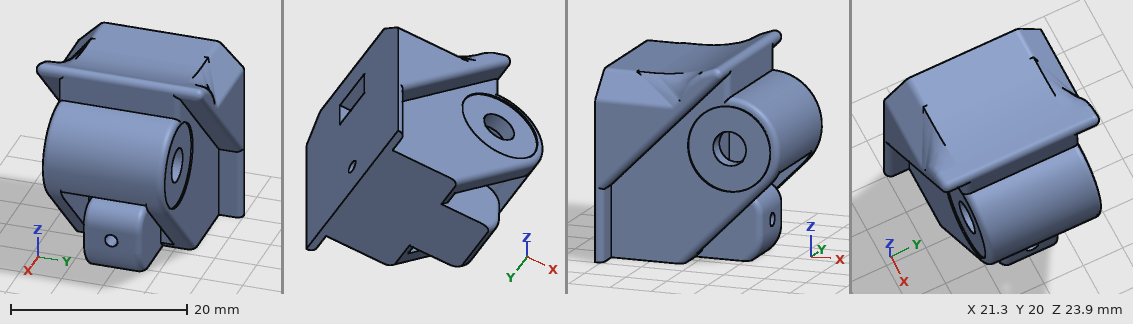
import math

import cadquery as cq

TOTAL_WIDTH = 20.0
HALF_WIDTH = TOTAL_WIDTH / 2
CREST_TOP = 23.9
ROOF_HEIGHT = 22.05
EDGE_RADIUS = 0.75
OVERSHOOT = 1.0
UNDERSIDE_FACING = -45.0

PLATE_THICKNESS = 0.95

ARM_WIDTH = 14.5
PIVOT_X = 15.25
PIVOT_Z = 14.0
ARM_END_RADIUS = 6.0
ARM_ARC_END = 100.0
PIVOT_HOLE_DIAMETER = 4.0
PIVOT_RECESS_DIAMETER = 10.0
PIVOT_RECESS_DEPTH = 0.2

CHAMFER = 3.0
CHAMFER_EDGE_RADIUS = 1.0
TIP_X = PIVOT_X - EDGE_RADIUS
TIP_Z = CREST_TOP - EDGE_RADIUS
SIN_45 = math.sqrt(0.5)
UNDERSIDE_RISE = TIP_Z - TIP_X - EDGE_RADIUS / SIN_45

RAMP_ANGLE = math.radians(21.3)
RAMP_START_X = 12.7
CREST_CENTRE_HALF_WIDTH = HALF_WIDTH - CHAMFER
CREST_START_X = 4.0
SIDE_CREST_START = (9.6, ROOF_HEIGHT - CHAMFER)
SIDE_CREST_TOE = (10.4, 19.8)
SIDE_CREST_MIDDLE = (11.3, 21.8)
SIDE_CREST_TOP = (12.7, 23.3)

CAVITY_WIDTH = 10.2
CAVITY_RADIUS = 4.7

FOOT_WIDTH = 7.0
FOOT_LENGTH = 17.75
FOOT_TOP = 8.0
FOOT_TOP_RADIUS = 2.5
FOOT_BOTTOM_RADIUS = 4.0
FOOT_BOTTOM = -0.95

WINDOW_WIDTH = 5.35
WINDOW_BOTTOM = 14.95
WINDOW_HEIGHT = 3.5
PIN_HOLE_DIAMETER = 1.5
PIN_HOLE_Z = 4.25


def side_sketch(y):
    """Sketch plane parallel to XZ at the given Y; extrusion runs toward -Y."""
    return cq.Workplane("XZ", origin=(0, y, 0))


def circle_point(centre, radius, degrees):
    """Point (x, z) on a circle, at an angle measured from +X toward +Z."""
    angle = math.radians(degrees)
    return (centre[0] + radius * math.cos(angle), centre[1] + radius * math.sin(angle))


def underside(x):
    """Point (x, z) on the sloping underside of the hood."""
    return (x, x + UNDERSIDE_RISE)


def make_plate():
    return cq.Workplane().box(
        PLATE_THICKNESS, TOTAL_WIDTH, ROOF_HEIGHT - CHAMFER, centered=(False, True, False)
    )


def make_hood_block():
    roof_end_x = ROOF_HEIGHT - UNDERSIDE_RISE
    block = (
        side_sketch(HALF_WIDTH)
        .polyline([underside(0), underside(roof_end_x), (0, ROOF_HEIGHT)])
        .close()
        .extrude(TOTAL_WIDTH)
    )
    block = block.edges("|X and >Z").chamfer(CHAMFER)
    return block.edges("|X and >Z").fillet(CHAMFER_EDGE_RADIUS)


def close_crest(sketch, start_x):
    """Finish a crest section: ramp into the round tip, then back down the underside."""
    tip = (TIP_X, TIP_Z)
    ramp_end = circle_point(tip, EDGE_RADIUS, 90 + math.degrees(RAMP_ANGLE))
    tip_middle = circle_point(tip, EDGE_RADIUS, 0)
    tip_end = circle_point(tip, EDGE_RADIUS, UNDERSIDE_FACING)
    return (
        sketch.lineTo(*ramp_end)
        .threePointArc(tip_middle, tip_end)
        .lineTo(*underside(start_x))
        .close()
    )


def centre_crest_sketch(y):
    ramp_end = circle_point((TIP_X, TIP_Z), EDGE_RADIUS, 90 + math.degrees(RAMP_ANGLE))
    ramp_start_z = ramp_end[1] - (ramp_end[0] - RAMP_START_X) * math.tan(RAMP_ANGLE)
    ramp_start = (RAMP_START_X, ramp_start_z)
    rise = ramp_start_z - ROOF_HEIGHT
    radius = rise / (1 - math.cos(RAMP_ANGLE))
    rise_start_x = RAMP_START_X - radius * math.sin(RAMP_ANGLE)
    middle = circle_point((rise_start_x, ROOF_HEIGHT + radius), radius, math.degrees(RAMP_ANGLE) / 2 - 90)
    sketch = (
        side_sketch(y)
        .moveTo(CREST_START_X, ROOF_HEIGHT)
        .lineTo(rise_start_x, ROOF_HEIGHT)
        .threePointArc(middle, ramp_start)
    )
    return close_crest(sketch, CREST_START_X)


def side_crest_sketch(y):
    sketch = (
        side_sketch(y)
        .moveTo(*SIDE_CREST_START)
        .lineTo(*SIDE_CREST_TOE)
        .threePointArc(SIDE_CREST_MIDDLE, SIDE_CREST_TOP)
    )
    return close_crest(sketch, SIDE_CREST_START[0])


def make_crest():
    centre = centre_crest_sketch(CREST_CENTRE_HALF_WIDTH).extrude(2 * CREST_CENTRE_HALF_WIDTH)
    inner_wire = centre_crest_sketch(-CREST_CENTRE_HALF_WIDTH).val()
    outer_wire = side_crest_sketch(-HALF_WIDTH).val()
    side = cq.Workplane(cq.Solid.makeLoft([inner_wire, outer_wire], True))
    return centre.union(side).union(side.mirror("XZ"))


def make_hood():
    hood = make_plate().union(make_hood_block()).union(make_crest())
    side_edges = hood.faces("<Y or >Y").edges()
    sharp_edges = hood.faces("<X or <Z").edges().vals()
    rounded_edges = [edge for edge in side_edges.vals() if edge not in sharp_edges]
    return hood.newObject(rounded_edges).fillet(EDGE_RADIUS)


def make_neck():
    """Upright front face that joins the tip of the crest to the pivot."""
    back_x = TIP_X - 2 * EDGE_RADIUS
    neck = (
        side_sketch(ARM_WIDTH / 2)
        .polyline([(back_x, PIVOT_Z), (PIVOT_X, PIVOT_Z), (PIVOT_X, TIP_Z), (back_x, TIP_Z - EDGE_RADIUS)])
        .close()
        .extrude(ARM_WIDTH)
    )
    return neck.faces(">X").edges("|Z").fillet(EDGE_RADIUS)


def make_arm():
    pivot = (PIVOT_X, PIVOT_Z)
    lower_tangent = circle_point(pivot, ARM_END_RADIUS, UNDERSIDE_FACING)
    arc_end = circle_point(pivot, ARM_END_RADIUS, ARM_ARC_END)
    heel_x = lower_tangent[0] - lower_tangent[1]
    arm = (
        side_sketch(ARM_WIDTH / 2)
        .moveTo(heel_x - OVERSHOOT, -OVERSHOOT)
        .lineTo(*lower_tangent)
        .threePointArc(circle_point(pivot, ARM_END_RADIUS, (UNDERSIDE_FACING + ARM_ARC_END) / 2), arc_end)
        .lineTo(*underside(arc_end[0]))
        .lineTo(*underside(0))
        .lineTo(0, -OVERSHOOT)
        .close()
        .extrude(ARM_WIDTH)
    )
    rounded_part = cq.selectors.BoxSelector(
        (heel_x - OVERSHOOT, -ARM_WIDTH, -OVERSHOOT),
        (PIVOT_X + ARM_WIDTH, ARM_WIDTH, PIVOT_Z + ARM_END_RADIUS / 2),
    )
    arm = arm.faces("<Y or >Y").edges(rounded_part).fillet(EDGE_RADIUS)
    return arm.union(make_neck())


def make_foot():
    foot = (
        side_sketch(FOOT_WIDTH / 2)
        .polyline([(0, FOOT_BOTTOM), (FOOT_LENGTH, FOOT_BOTTOM), (FOOT_LENGTH, FOOT_TOP), (0, FOOT_TOP)])
        .close()
        .extrude(FOOT_WIDTH)
    )
    foot = foot.edges("|Y and >X and <Z").fillet(FOOT_BOTTOM_RADIUS)
    foot = foot.edges("|Y and >Z and >X").fillet(FOOT_TOP_RADIUS)
    return foot.faces(">X").edges("<Y or >Y").fillet(EDGE_RADIUS)


def cut_cavity(body):
    """Slot between the two lugs: round about the pivot, flaring open through the underside of the arm."""
    pivot = (PIVOT_X, PIVOT_Z)
    back_x = PIVOT_X - CAVITY_RADIUS
    front_x = PIVOT_X + CAVITY_RADIUS
    cavity = (
        side_sketch(CAVITY_WIDTH / 2)
        .moveTo(back_x, -OVERSHOOT)
        .lineTo(back_x, PIVOT_Z)
        .threePointArc(circle_point(pivot, CAVITY_RADIUS, 90), (front_x, PIVOT_Z))
        .lineTo(PIVOT_X + ARM_END_RADIUS, PIVOT_Z - ARM_END_RADIUS)
        .lineTo(PIVOT_X + ARM_END_RADIUS, -OVERSHOOT)
        .close()
        .extrude(CAVITY_WIDTH)
    )
    return body.cut(cavity)


def cut_window(body):
    """Rectangular opening from the back face into the cavity."""
    window = (
        cq.Workplane("YZ")
        .center(0, WINDOW_BOTTOM + WINDOW_HEIGHT / 2)
        .rect(WINDOW_WIDTH, WINDOW_HEIGHT)
        .extrude(PIVOT_X)
    )
    return body.cut(window)


def cut_pivot_hole(body):
    hole = (
        side_sketch(HALF_WIDTH)
        .center(PIVOT_X, PIVOT_Z)
        .circle(PIVOT_HOLE_DIAMETER / 2)
        .extrude(TOTAL_WIDTH)
    )
    return body.cut(hole)


def cut_pivot_recesses(body):
    """Shallow round recess on each side of the arm, around the pivot hole."""
    for face_y in (ARM_WIDTH / 2, PIVOT_RECESS_DEPTH - ARM_WIDTH / 2):
        recess = (
            side_sketch(face_y)
            .center(PIVOT_X, PIVOT_Z)
            .circle(PIVOT_RECESS_DIAMETER / 2)
            .extrude(PIVOT_RECESS_DEPTH)
        )
        body = body.cut(recess)
    return body


def cut_pin_hole(body):
    hole = cq.Workplane("YZ").center(0, PIN_HOLE_Z).circle(PIN_HOLE_DIAMETER / 2).extrude(FOOT_LENGTH)
    return body.cut(hole)


def trim_bottom(body):
    """Cut everything off flat at Z = 0."""
    below = cq.Workplane().box(2 * FOOT_LENGTH, TOTAL_WIDTH, FOOT_TOP)
    below = below.translate((FOOT_LENGTH, 0, -FOOT_TOP / 2))
    return body.cut(below)


result = cut_cavity(make_hood().union(make_arm()))
result = trim_bottom(result.union(make_foot()))
result = cut_window(result)
result = cut_pivot_recesses(result)
result = cut_pivot_hole(result)
result = cut_pin_hole(result)